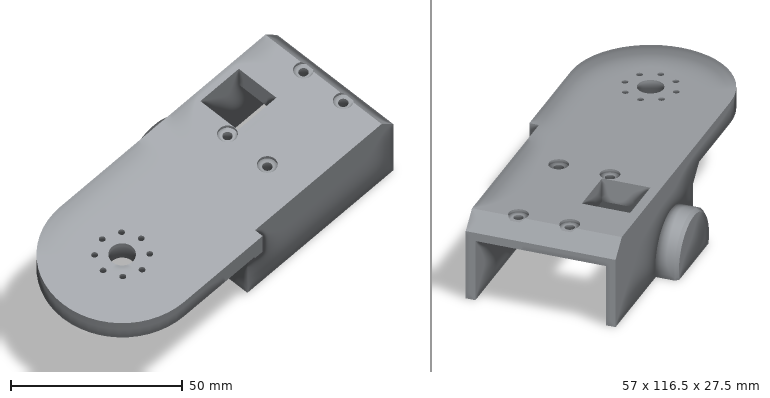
import cadquery as cq

height = 27.5
length = 116.5
arm_width = 50.0
arm_thickness = 7.0
hub_radius = arm_width / 2
left_x = -hub_radius
right_x = hub_radius
back_y = length - hub_radius

housing_width = 47.0
housing_length = 61.6
housing_front_y = back_y - housing_length
edge_slope = 5.0
wall = 3.0
roof_thickness = 7.7

shoulder_y = back_y - 58.4

boss_radius = 13.0
boss_length = 7.0
boss_chamfer = 1.0
boss_y = back_y - 44.7
boss_z = 3.3

window_width = 15.1
window_length = 16.2
window_back_y = back_y - 19.3

screw_diameter = 3.0
counterbore_diameter = 6.0
counterbore_depth = 1.0
screw_half_spacing = 8.0
screw_back_y = back_y - 6.6
screw_row_spacing = 32.0

hub_bore = 8.0
hub_screw_diameter = 2.0
hub_screw_circle_radius = 8.0
hub_screw_count = 8


def box(x_min, x_max, y_min, y_max, z_min, z_max):
    """Axis-aligned box between the given limits."""
    size = (x_max - x_min, y_max - y_min, z_max - z_min)
    return cq.Workplane("XY").box(*size, centered=False).translate((x_min, y_min, z_min))


def make_housing():
    """Side profile with a sloped back edge and a sloped brace under the arm."""
    brace_top_z = height - arm_thickness
    return (
        cq.Workplane("YZ", origin=(left_x, 0, 0))
        .moveTo(housing_front_y, 0)
        .lineTo(back_y, 0)
        .lineTo(back_y, height - edge_slope)
        .lineTo(back_y - edge_slope, height)
        .lineTo(housing_front_y - edge_slope, height)
        .lineTo(housing_front_y - edge_slope, brace_top_z)
        .lineTo(housing_front_y, brace_top_z - edge_slope)
        .close()
        .extrude(housing_width)
    )


def make_arm():
    """Flat arm with a round end, plus the slightly thicker shoulder beside the housing."""
    arm = (
        cq.Workplane("XY", origin=(0, 0, height - arm_thickness))
        .moveTo(left_x, shoulder_y)
        .lineTo(left_x, 0)
        .threePointArc((0, -hub_radius), (right_x, 0))
        .lineTo(right_x, shoulder_y)
        .close()
        .extrude(arm_thickness)
    )
    shoulder = box(
        left_x, right_x, housing_front_y, shoulder_y, height - roof_thickness, height
    )
    return arm.union(shoulder)


def make_boss():
    """Chamfered disc whose lower part is removed at the underside."""
    disc = (
        cq.Workplane("YZ", origin=(left_x, boss_y, boss_z))
        .circle(boss_radius)
        .extrude(-boss_length)
        .faces("<X")
        .chamfer(boss_chamfer)
    )
    below = box(
        left_x - boss_length, left_x, boss_y - boss_radius, boss_y + boss_radius, -boss_radius, 0
    )
    return disc.cut(below)


def make_cavity():
    """Space under the roof, between the side walls and behind the front wall."""
    return box(
        left_x + wall,
        left_x + housing_width - wall,
        housing_front_y + wall,
        back_y,
        0,
        height - roof_thickness,
    )


def make_window():
    window_x = left_x + wall
    return box(
        window_x,
        window_x + window_width,
        window_back_y - window_length,
        window_back_y,
        height - roof_thickness,
        height,
    )


def cut_screw_holes(body):
    points = [
        (x, y)
        for x in (-screw_half_spacing, screw_half_spacing)
        for y in (screw_back_y, screw_back_y - screw_row_spacing)
    ]
    return (
        body.cut(make_top_holes(points, screw_diameter, roof_thickness))
        .cut(make_top_holes(points, counterbore_diameter, counterbore_depth))
    )


def make_top_holes(points, diameter, depth):
    """Cylinders reaching down from the top surface."""
    return (
        cq.Workplane("XY", origin=(0, 0, height))
        .pushPoints(points)
        .circle(diameter / 2)
        .extrude(-depth)
    )


def cut_hub_holes(body):
    bore = make_top_holes([(0, 0)], hub_bore, arm_thickness)
    screws = (
        cq.Workplane("XY", origin=(0, 0, height))
        .polarArray(hub_screw_circle_radius, 0, 360, hub_screw_count)
        .circle(hub_screw_diameter / 2)
        .extrude(-arm_thickness)
    )
    return body.cut(bore).cut(screws)


body = make_housing().union(make_arm()).union(make_boss())
body = body.cut(make_cavity()).cut(make_window())
body = cut_screw_holes(body)
result = cut_hub_holes(body)